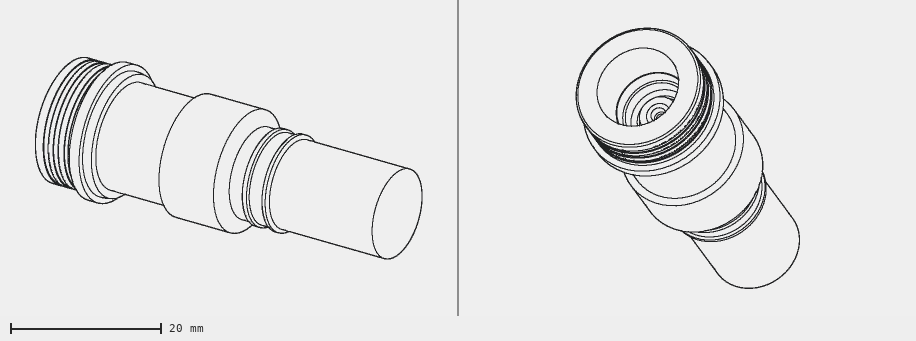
import cadquery as cq


overall_length = 51.55

thread_radius = 8.65
groove_radius = 8.5
front_chamfer_length = 0.2
front_chamfer_height = 0.3
grooves = [(1.45, 2.2), (3.0, 3.75), (4.7, 5.3)]
flange_start = 6.1
flange_end = 7.65
flange_diameter = 19.0
flange_radius = flange_diameter / 2
collar_end = 8.9
collar_chamfer_length = 0.8
collar_chamfer_height = 0.15
barrel_radius = 7.4
sleeve_start = 19.55
sleeve_radius = 8.5
sleeve_end = 28.1

mouth_radius = 5.65
mouth_depth = 3.7
taper_end = 6.75
taper_end_radius = 5.15
step_radius = 5.05
seat_depth = 8.5
seat_outer_radius = 4.8
seat_inner_radius = 4.45
throat_depth = 10.05
throat_radius = 4.1
funnel_depth = 10.3
funnel_radius = 3.35
socket_floor = 11.85

insulator_radius = 3.2
insulator_tip_radius = 2.65
insulator_front = 9.0
insulator_taper_end = 10.8

contact_radius = 1.65
recess_radius = 1.05
recess_floor_radius = 0.9
recess_depth = 1.05
pin_radius = 0.55
pin_tip_setback = 0.25

neck_radius = 6.4
cone_end = 29.2
ring_radius = 6.75
ring_flank = 0.2
front_ring_start = 31.3
front_ring_end = 32.35
rear_ring_start = 34.35
rear_ring_crest_end = 35.1
rear_body_end = 35.4

cable_radius = 6.2


def turned(points):
    """Solid turned about the X axis from a closed outline of (x, radius) points."""
    return cq.Workplane("XY").polyline(points).close().revolve(360, (0, 0, 0), (1, 0, 0))


def make_shell():
    outside = [
        (0, thread_radius - front_chamfer_height),
        (front_chamfer_length, thread_radius),
    ]
    for start, end in grooves:
        outside += [
            (start, thread_radius),
            (start, groove_radius),
            (end, groove_radius),
            (end, thread_radius),
        ]
    outside += [
        (flange_start, thread_radius),
        (flange_start, flange_radius),
        (flange_end, flange_radius),
        (flange_end, thread_radius),
        (collar_end - collar_chamfer_length, thread_radius),
        (collar_end, thread_radius - collar_chamfer_height),
        (collar_end, barrel_radius),
        (sleeve_start, barrel_radius),
        (sleeve_start, sleeve_radius),
        (sleeve_end, sleeve_radius),
        (sleeve_end, 0),
    ]
    socket = [
        (socket_floor, 0),
        (socket_floor, funnel_radius),
        (funnel_depth, funnel_radius),
        (throat_depth, throat_radius),
        (seat_depth, seat_inner_radius),
        (seat_depth, seat_outer_radius),
        (taper_end, step_radius),
        (taper_end, taper_end_radius),
        (mouth_depth, mouth_radius),
        (0, mouth_radius),
    ]
    return turned(outside + socket)


def make_insulator():
    return turned([
        (insulator_front, contact_radius),
        (insulator_front, insulator_tip_radius),
        (insulator_taper_end, insulator_radius),
        (socket_floor, insulator_radius),
        (socket_floor, contact_radius),
    ])


def make_contact():
    recess_floor = insulator_front + recess_depth
    return turned([
        (insulator_front + pin_tip_setback, 0),
        (recess_floor, pin_radius),
        (recess_floor, recess_floor_radius),
        (insulator_front, recess_radius),
        (insulator_front, contact_radius),
        (socket_floor, contact_radius),
        (socket_floor, 0),
    ])


def make_rear_body():
    return turned([
        (sleeve_end, 0),
        (sleeve_end, sleeve_radius),
        (cone_end, neck_radius),
        (front_ring_start, neck_radius),
        (front_ring_start + ring_flank, ring_radius),
        (front_ring_end - ring_flank, ring_radius),
        (front_ring_end, neck_radius),
        (rear_ring_start, neck_radius),
        (rear_ring_start + ring_flank, ring_radius),
        (rear_ring_crest_end, ring_radius),
        (rear_body_end, cable_radius),
        (rear_body_end, 0),
    ])


def make_cable():
    cable_length = overall_length - rear_body_end
    return cq.Workplane("YZ", origin=(rear_body_end, 0, 0)).circle(cable_radius).extrude(cable_length)


shell = make_shell()
insulator = make_insulator()
contact = make_contact()
rear_body = make_rear_body()
cable = make_cable()

result = cq.Compound.makeCompound([
    shell.val(),
    insulator.val(),
    contact.val(),
    rear_body.val(),
    cable.val(),
])